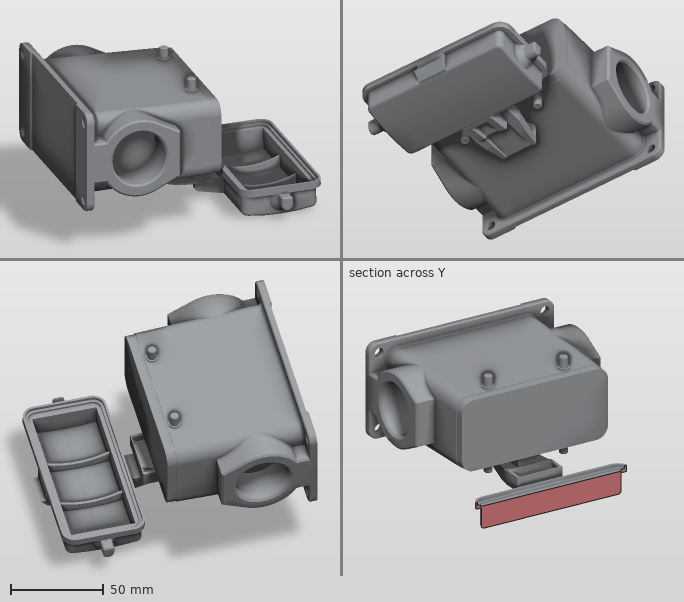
import cadquery as cq
import math

FLANGE_WIDTH = 117.0
FLANGE_HEIGHT = 56.7
FLANGE_THICKNESS = 4.4
FLANGE_CORNER = 5.4
FLANGE_EDGE = 0.5
MOUNT_HOLE_DIAMETER = 5.7
MOUNT_HOLE_X = 52.5
MOUNT_HOLE_Z = 22.5
RELIEF_DEPTH = 1.0
RELIEF_INNER_HALF_WIDTH = 38.7
RELIEF_OUTER_HALF_WIDTH = 39.5

BODY_ROOT_WIDTH = 95.8
BODY_ROOT_HEIGHT = 45.6
BODY_CORNER = 7.5
BODY_FRONT = 80.5
BODY_TAPER = 1.1
RIM_LENGTH = 5.4
RIM_INSET = 0.3
ROOT_CHAMFER = 0.9

ENTRY_Y = 30.0
ENTRY_RADIUS = 22.1
ENTRY_FRONT = 53.3
ENTRY_FRONT_HALF_HEIGHT = 13.0
ENTRY_NECK_HALF_HEIGHT = 11.6
ENTRY_EDGE = 1.0
ENTRY_INNER_X = 35.5
BORE_RADIUS = 15.2
BORE_CHAMFER = 1.1
BORE_DEPTH = 19.8

PIN_X = 23.8
PIN_Y = 70.9
PIN_RADIUS = 2.4
PIN_TIP_Z = 28.8
PIN_CHAMFER = 0.4
COLLAR_RADIUS = 3.3
COLLAR_TOP_Z = 22.4
PIN_ROOT_Z = 19.8

BRACKET_BACK = 53.2
BRACKET_TAPER_Y = 73.8
BRACKET_FRONT = 85.6
BRACKET_HALF_WIDTH = 14.2
BRACKET_BACK_HALF_WIDTH = 10.5
BRACKET_TOP_Z = -28.9
BRACKET_SHELF_Z = -29.8
BRACKET_BOTTOM_Z = -37.4
BRACKET_BACK_BOTTOM_Z = -35.2
BRACKET_SLOPE_Y = 66.6
STEM_HALF_WIDTH = 6.4
STEM_FRONT = 74.0
STEM_SHOULDER_Y = 60.4
STEM_WALL_Y = 55.1
EAR_THICKNESS = 1.5
TROUGH_Y = 80.8
TROUGH_RADIUS = 4.3
ARM_SLOT_TOP_Z = -34.3

LID_Y = 115.2
LID_Z = -30.8
LID_TILT = 1.4
LID_RIM_WIDTH = 96.0
LID_RIM_LENGTH = 46.5
LID_RIM_DEPTH = 4.1
LID_RIM_CORNER = 7.2
LID_LIP_WIDTH = 1.3
LID_LIP_DEPTH = 1.7
LID_PAN_WIDTH = 88.5
LID_PAN_LENGTH = 42.5
LID_PAN_OFFSET = -0.5
LID_PAN_CORNER = 3.5
LID_DEPTH = 17.9
LID_CROWN = 2.0
LID_BOTTOM_FILLET = 1.7
SEAT_DEPTH = 2.8
SEAT_WIDTH = 90.1
SEAT_LENGTH = 40.8
SEAT_CORNER = 4.5
CAVITY_WIDTH = 83.3
CAVITY_LENGTH = 36.0
CAVITY_DEPTH = 16.5
CAVITY_CROWN = 1.4
RIB_X = 14.0
RIB_THICKNESS = 1.5
RIB_END_DEPTH = 8.4
RIB_SAG = 3.7

ARM_HALF_WIDTH = 8.5
ARM_END_Y = 78.0
ARM_TOP_Z = -37.8
ARM_END_BOTTOM_Z = -44.0
ARM_ROOT_Y = 96.4
ARM_ROOT_TOP_Z = -34.0
ARM_ROOT_BOTTOM_Z = -47.0
ARM_ROOT_PRISM_BOTTOM_Z = -45.9
RIM_BACK_Y = LID_Y - LID_RIM_LENGTH / 2
PAN_BACK_Y = LID_Y + LID_PAN_OFFSET - LID_PAN_LENGTH / 2
ARM_END_ROUND = 2.5
KNUCKLE_TOP_Z = -29.8
KNUCKLE_BACK_Z = -32.3
KNUCKLE_FRONT = 84.9
NOTCH_HALF_WIDTH = 5.0
NOTCH_TOP_Z = -41.0
NOTCH_LENGTH = 13.5
ARM_ROOT_HALF_WIDTH = 10.5
ARM_ROOT_LENGTH = 1.4
TONGUE_TIP_Y = 141.7
TONGUE_TIP_Z = -41.4
TONGUE_FACE_Y = 138.6
TONGUE_TOP_Z = -32.6
TONGUE_BOTTOM_Y = 137.2
TONGUE_BOTTOM_Z = -46.2
TONGUE_ROOT_Y = 134.0

LUG_TIP_X = 54.7
LUG_Y = 115.5
LUG_AXIS_Z = -39.5
LUG_RADIUS = 3.1
LUG_TOP_Z = -34.9
LUG_CHAMFER = 0.7
LUG_BASE_RADIUS = 7.1
LUG_BASE_X = 44.0
LUG_BASE_TOP_Z = -34.0


def both_sides(shape, plane):
    return shape.union(shape.mirror(plane))


def across_x(points, half_width):
    """Extrude a (Y, Z) outline symmetrically along X."""
    return cq.Workplane("YZ").polyline(points).close().extrude(half_width, both=True)


def box_between(x_range, y_range, z_range):
    size = [high - low for low, high in (x_range, y_range, z_range)]
    corner = (x_range[0], y_range[0], z_range[0])
    return cq.Workplane("XY").box(*size, centered=False).translate(corner)


def facing_front(y):
    """XZ workplane at the given Y whose normal points along +Y (local x is -X)."""
    return cq.Workplane(cq.Plane(origin=(0, y, 0), xDir=(-1, 0, 0), normal=(0, 1, 0)))


def plan_prism(half_outline, bottom, top):
    """Prism standing in Z whose plan is the given +X half outline and its mirror image."""
    other_half = [(-x, y) for x, y in reversed(half_outline)]
    plan = cq.Workplane("XY", origin=(0, 0, bottom)).polyline(half_outline + other_half).close()
    return plan.extrude(top - bottom)


def rounded_block(width, length, corner, top, bottom):
    block = cq.Workplane("XY", origin=(0, 0, bottom)).rect(width, length).extrude(top - bottom)
    return block.edges("|Z").fillet(corner)


def crowned_block(width, length, depth, crown):
    """Block from Z = 0 downwards whose floor bulges down to the depth at Y = 0."""
    edge_z = crown - depth
    return (
        cq.Workplane("YZ")
        .moveTo(-length / 2, 0)
        .lineTo(-length / 2, edge_z)
        .threePointArc((0, -depth), (length / 2, edge_z))
        .lineTo(length / 2, 0)
        .close()
        .extrude(width / 2, both=True)
    )


def make_flange():
    flange = facing_front(0).rect(FLANGE_WIDTH, FLANGE_HEIGHT).extrude(FLANGE_THICKNESS)
    flange = flange.edges("|Y").fillet(FLANGE_CORNER)
    flange = flange.faces(">Y").chamfer(FLANGE_EDGE)
    holes = (
        facing_front(0)
        .rect(2 * MOUNT_HOLE_X, 2 * MOUNT_HOLE_Z, forConstruction=True)
        .vertices()
        .circle(MOUNT_HOLE_DIAMETER / 2)
        .extrude(FLANGE_THICKNESS)
    )
    return flange.cut(holes)


def make_relief():
    outline = [
        (-RELIEF_OUTER_HALF_WIDTH, 0),
        (RELIEF_OUTER_HALF_WIDTH, 0),
        (RELIEF_INNER_HALF_WIDTH, RELIEF_DEPTH),
        (-RELIEF_INNER_HALF_WIDTH, RELIEF_DEPTH),
    ]
    return cq.Workplane("XY").polyline(outline).close().extrude(FLANGE_HEIGHT, both=True)


def tapered_block(start, end, inset):
    """Part of the tapered housing between two Y positions, shrunk all round by the inset."""
    shrink = 2 * ((start - FLANGE_THICKNESS) * math.tan(math.radians(BODY_TAPER)) + inset)
    return (
        facing_front(start)
        .rect(BODY_ROOT_WIDTH - shrink, BODY_ROOT_HEIGHT - shrink)
        .extrude(end - start, taper=BODY_TAPER)
        .edges("not(|X or |Z)")
        .fillet(BODY_CORNER)
    )


def make_body():
    rim_start = BODY_FRONT - RIM_LENGTH
    barrel = tapered_block(FLANGE_THICKNESS, rim_start, 0)
    rim = tapered_block(rim_start, BODY_FRONT, RIM_INSET)
    root = (
        facing_front(FLANGE_THICKNESS)
        .sketch()
        .rect(BODY_ROOT_WIDTH + 2 * ROOT_CHAMFER, BODY_ROOT_HEIGHT + 2 * ROOT_CHAMFER)
        .vertices()
        .fillet(BODY_CORNER + ROOT_CHAMFER)
        .finalize()
        .extrude(ROOT_CHAMFER, taper=45)
    )
    return barrel.union(rim).union(root)


def make_entry():
    """Round boss with a flat front and a neck to the flange, on the -X side."""
    corner_dy = ENTRY_FRONT - ENTRY_Y
    corner_distance = math.hypot(corner_dy, ENTRY_FRONT_HALF_HEIGHT)
    tangent_angle = math.atan2(ENTRY_FRONT_HALF_HEIGHT, corner_dy)
    tangent_angle += math.acos(ENTRY_RADIUS / corner_distance)
    tangent_y = ENTRY_Y + ENTRY_RADIUS * math.cos(tangent_angle)
    tangent_z = ENTRY_RADIUS * math.sin(tangent_angle)
    neck_y = ENTRY_Y - math.sqrt(ENTRY_RADIUS**2 - ENTRY_NECK_HALF_HEIGHT**2)
    neck_z = ENTRY_NECK_HALF_HEIGHT
    outer_x = FLANGE_WIDTH / 2

    boss = (
        cq.Workplane("YZ", origin=(-outer_x, 0, 0))
        .moveTo(FLANGE_THICKNESS / 2, -neck_z)
        .lineTo(neck_y, -neck_z)
        .threePointArc((ENTRY_Y, -ENTRY_RADIUS), (tangent_y, -tangent_z))
        .lineTo(ENTRY_FRONT, -ENTRY_FRONT_HALF_HEIGHT)
        .lineTo(ENTRY_FRONT, ENTRY_FRONT_HALF_HEIGHT)
        .lineTo(tangent_y, tangent_z)
        .threePointArc((ENTRY_Y, ENTRY_RADIUS), (neck_y, neck_z))
        .lineTo(FLANGE_THICKNESS / 2, neck_z)
        .close()
        .extrude(outer_x - ENTRY_INNER_X)
    )
    mouth_edges = cq.selectors.BoxSelector(
        (-outer_x - ENTRY_EDGE, FLANGE_THICKNESS, -FLANGE_HEIGHT),
        (-outer_x + ENTRY_EDGE, BODY_FRONT, FLANGE_HEIGHT),
    )
    return boss.edges(mouth_edges).chamfer(ENTRY_EDGE)


def make_bore():
    mouth = cq.Workplane("YZ", origin=(-FLANGE_WIDTH / 2, 0, 0)).center(ENTRY_Y, 0)
    bore = mouth.circle(BORE_RADIUS).extrude(BORE_DEPTH)
    countersink = mouth.circle(BORE_RADIUS + BORE_CHAMFER).extrude(BORE_CHAMFER, taper=45)
    return bore.union(countersink)


def make_pins():
    base = cq.Workplane("XY", origin=(0, PIN_Y, PIN_ROOT_Z)).pushPoints([(-PIN_X, 0), (PIN_X, 0)])
    pins = base.circle(PIN_RADIUS).extrude(PIN_TIP_Z - PIN_ROOT_Z).faces(">Z").chamfer(PIN_CHAMFER)
    collars = base.circle(COLLAR_RADIUS).extrude(COLLAR_TOP_Z - PIN_ROOT_Z)
    return both_sides(pins.union(collars), "XY")


def make_bracket():
    side = across_x(
        [
            (BRACKET_BACK, BRACKET_SHELF_Z),
            (STEM_FRONT, BRACKET_SHELF_Z),
            (STEM_FRONT, BRACKET_TOP_Z),
            (BRACKET_FRONT, BRACKET_TOP_Z),
            (BRACKET_FRONT, BRACKET_BOTTOM_Z),
            (BRACKET_SLOPE_Y, BRACKET_BOTTOM_Z),
            (BRACKET_BACK, BRACKET_BACK_BOTTOM_Z),
        ],
        BRACKET_HALF_WIDTH,
    )
    half_plan = [
        (BRACKET_BACK_HALF_WIDTH, BRACKET_BACK),
        (BRACKET_HALF_WIDTH, BRACKET_TAPER_Y),
        (BRACKET_HALF_WIDTH, BRACKET_FRONT),
    ]
    plate = side.intersect(plan_prism(half_plan, BRACKET_BOTTOM_Z, BRACKET_TOP_Z))

    ear_inner = BRACKET_HALF_WIDTH - EAR_THICKNESS
    trough = (
        cq.Workplane("YZ")
        .center(TROUGH_Y, BRACKET_TOP_Z)
        .circle(TROUGH_RADIUS)
        .extrude(ear_inner, both=True)
    )
    arm_slot = box_between(
        (-ARM_HALF_WIDTH, ARM_HALF_WIDTH), (BRACKET_BACK, KNUCKLE_FRONT), (BRACKET_BOTTOM_Z, ARM_SLOT_TOP_Z)
    )
    half_stem = [
        (BRACKET_BACK_HALF_WIDTH, BRACKET_BACK),
        (BRACKET_BACK_HALF_WIDTH, STEM_WALL_Y),
        (STEM_HALF_WIDTH, STEM_SHOULDER_Y),
        (STEM_HALF_WIDTH, STEM_FRONT),
    ]
    stem = plan_prism(half_stem, BRACKET_SHELF_Z, -PIN_ROOT_Z)
    return plate.cut(trough).cut(arm_slot).union(stem)


def make_lid_shell():
    pan = crowned_block(LID_PAN_WIDTH, LID_PAN_LENGTH, LID_DEPTH, LID_CROWN)
    pan = pan.edges("|Z").fillet(LID_PAN_CORNER)
    pan = pan.faces("<Z").edges().fillet(LID_BOTTOM_FILLET)
    rim = rounded_block(LID_RIM_WIDTH, LID_RIM_LENGTH, LID_RIM_CORNER, 0, -LID_RIM_DEPTH)
    return pan.translate((0, LID_PAN_OFFSET, 0)).union(rim)


def make_lid_hollow():
    inside_lip = rounded_block(
        LID_RIM_WIDTH - 2 * LID_LIP_WIDTH,
        LID_RIM_LENGTH - 2 * LID_LIP_WIDTH,
        LID_RIM_CORNER - LID_LIP_WIDTH,
        0,
        -LID_LIP_DEPTH,
    )
    seat = rounded_block(SEAT_WIDTH, SEAT_LENGTH, SEAT_CORNER, 0, -SEAT_DEPTH)
    cavity = crowned_block(CAVITY_WIDTH, CAVITY_LENGTH, CAVITY_DEPTH, CAVITY_CROWN)
    half_length = CAVITY_LENGTH / 2
    ribs = cq.Workplane("XY")
    for x in (-RIB_X, RIB_X):
        rib = (
            cq.Workplane("YZ", origin=(x, 0, 0))
            .moveTo(-half_length, -CAVITY_DEPTH)
            .lineTo(-half_length, -RIB_END_DEPTH)
            .threePointArc((0, -RIB_END_DEPTH - RIB_SAG), (half_length, -RIB_END_DEPTH))
            .lineTo(half_length, -CAVITY_DEPTH)
            .close()
            .extrude(RIB_THICKNESS / 2, both=True)
        )
        ribs = ribs.union(rib)
    return cavity.cut(ribs).union(seat).union(inside_lip)


def place_lid(shape):
    return shape.rotate((0, 0, 0), (1, 0, 0), LID_TILT).translate((0, LID_Y, LID_Z))


def make_arm():
    arm = across_x(
        [
            (ARM_ROOT_Y, ARM_ROOT_TOP_Z),
            (RIM_BACK_Y, ARM_ROOT_TOP_Z),
            (RIM_BACK_Y, ARM_TOP_Z),
            (KNUCKLE_FRONT, ARM_TOP_Z),
            (KNUCKLE_FRONT, KNUCKLE_TOP_Z),
            (ARM_END_Y, KNUCKLE_BACK_Z),
            (ARM_END_Y, ARM_END_BOTTOM_Z),
            (PAN_BACK_Y, ARM_ROOT_BOTTOM_Z),
            (ARM_ROOT_Y, ARM_ROOT_BOTTOM_Z),
        ],
        ARM_HALF_WIDTH,
    )
    end_edge = cq.selectors.NearestToPointSelector((0, ARM_END_Y, ARM_END_BOTTOM_Z))
    arm = arm.edges(end_edge).fillet(ARM_END_ROUND)
    notch = box_between(
        (-NOTCH_HALF_WIDTH, NOTCH_HALF_WIDTH),
        (ARM_END_Y, ARM_END_Y + NOTCH_LENGTH),
        (LID_Z - LID_DEPTH, NOTCH_TOP_Z),
    )
    half_root = [
        (ARM_HALF_WIDTH, PAN_BACK_Y - ARM_ROOT_LENGTH),
        (ARM_ROOT_HALF_WIDTH, PAN_BACK_Y),
        (ARM_ROOT_HALF_WIDTH, ARM_ROOT_Y),
    ]
    root = plan_prism(half_root, ARM_ROOT_PRISM_BOTTOM_Z, ARM_ROOT_TOP_Z)
    return arm.cut(notch).union(root)


def make_tongue():
    return across_x(
        [
            (TONGUE_ROOT_Y, TONGUE_TOP_Z),
            (TONGUE_FACE_Y, TONGUE_TOP_Z),
            (TONGUE_FACE_Y, TONGUE_TIP_Z),
            (TONGUE_TIP_Y, TONGUE_TIP_Z),
            (TONGUE_BOTTOM_Y, TONGUE_BOTTOM_Z),
            (TONGUE_ROOT_Y, TONGUE_BOTTOM_Z),
        ],
        ARM_HALF_WIDTH,
    )


def lug_outline(workplane, radius, top_z):
    """U outline around the lug axis: flat top, round bottom."""
    rise = top_z - LUG_AXIS_Z
    return (
        workplane.moveTo(-radius, rise)
        .lineTo(-radius, 0)
        .threePointArc((0, -radius), (radius, 0))
        .lineTo(radius, rise)
        .close()
    )


def make_lugs():
    def at(x):
        return cq.Workplane("YZ", origin=(x, LUG_Y, LUG_AXIS_Z))

    lug = lug_outline(at(LUG_BASE_X), LUG_RADIUS, LUG_TOP_Z).extrude(LUG_TIP_X - LUG_BASE_X)
    lug = lug.faces(">X or >Z").chamfer(LUG_CHAMFER)
    rim_x = LID_RIM_WIDTH / 2
    base = lug_outline(at(LUG_BASE_X), LUG_BASE_RADIUS, LUG_BASE_TOP_Z)
    base = lug_outline(base.workplane(offset=rim_x - LUG_BASE_X), LUG_RADIUS, LUG_BASE_TOP_Z)
    return both_sides(lug.union(base.loft(combine=True)), "YZ")


housing = make_flange().union(make_body()).union(both_sides(make_entry(), "YZ")).cut(make_relief())
housing = housing.cut(both_sides(make_bore(), "YZ")).union(make_pins()).union(make_bracket())

lid = place_lid(make_lid_shell()).union(make_arm()).union(make_tongue()).union(make_lugs())
lid = lid.cut(place_lid(make_lid_hollow()))

result = housing.union(lid)